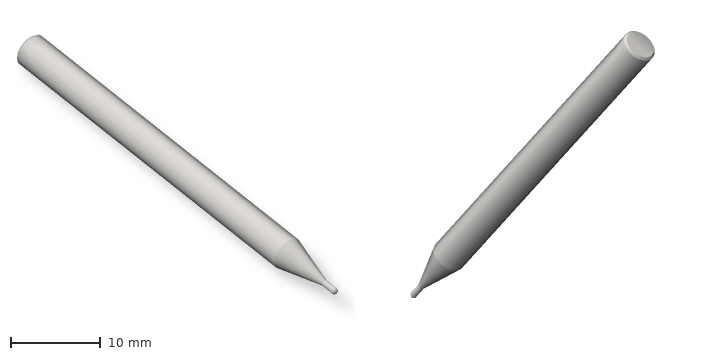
import cadquery as cq
import math

total_length = 50.0
shank_radius = 2.0
shank_chamfer = 0.25
neck_radius = 0.375
neck_start = 48.0
taper_half_angle = 15.0
head_radius = 0.4
head_start = 49.45

taper_length = (shank_radius - neck_radius) / math.tan(math.radians(taper_half_angle))
shank_end = neck_start - taper_length
ball_start = total_length - head_radius

ball_mid_offset = head_radius * math.sqrt(0.5)

profile = (
    cq.Workplane("XY")
    .moveTo(0, 0)
    .lineTo(0, shank_radius - shank_chamfer)
    .lineTo(shank_chamfer, shank_radius)
    .lineTo(shank_end, shank_radius)
    .lineTo(neck_start, neck_radius)
    .lineTo(head_start, neck_radius)
    .lineTo(head_start, head_radius)
    .lineTo(ball_start, head_radius)
    .threePointArc((ball_start + ball_mid_offset, ball_mid_offset), (total_length, 0))
    .close()
)

result = profile.revolve(360, (0, 0, 0), (1, 0, 0))